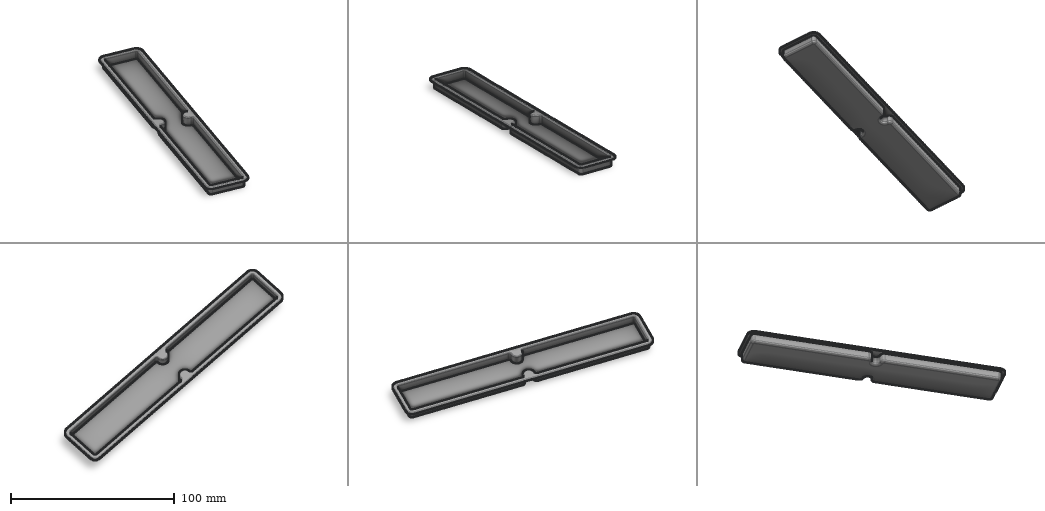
import cadquery as cq

length = 164.0
width = 29.0
height = 7.0
wall = 1.1
flange_thickness = 1.0
flange_overhang = 2.3
body_length = length - 2 * flange_overhang
body_width = width - 2 * flange_overhang
body_corner_radius = 2.1

flange_edge_fillet = 0.8
bottom_edge_fillet = 1.5
opening_edge_fillet = 0.7

notch_radius = 2.6
mouth_radius = 2.5


def tray_outline(inset, base_z):
    """Notched body outline, offset inward by inset, on the plane at base_z."""
    half_x = body_length / 2 - inset
    half_y = body_width / 2 - inset
    corner = body_corner_radius - inset
    tip = notch_radius + inset
    mouth = mouth_radius - inset
    arc_end_y = half_y - mouth
    mouth_x = tip + mouth
    return (
        cq.Workplane("XY", origin=(0, 0, base_z))
        .moveTo(-half_x + corner, -half_y)
        .lineTo(-mouth_x, -half_y)
        .radiusArc((-tip, -arc_end_y), -mouth)
        .threePointArc((0, -arc_end_y + tip), (tip, -arc_end_y))
        .radiusArc((mouth_x, -half_y), -mouth)
        .lineTo(half_x - corner, -half_y)
        .radiusArc((half_x, -half_y + corner), -corner)
        .lineTo(half_x, half_y - corner)
        .radiusArc((half_x - corner, half_y), -corner)
        .lineTo(mouth_x, half_y)
        .radiusArc((tip, arc_end_y), -mouth)
        .threePointArc((0, arc_end_y - tip), (-tip, arc_end_y))
        .radiusArc((-mouth_x, half_y), -mouth)
        .lineTo(-half_x + corner, half_y)
        .radiusArc((-half_x, half_y - corner), -corner)
        .lineTo(-half_x, -half_y + corner)
        .radiusArc((-half_x + corner, -half_y), -corner)
        .close()
    )


def make_body():
    body = tray_outline(0, 0).extrude(height)
    return body.faces("<Z").edges().fillet(bottom_edge_fillet)


def make_flange():
    flange = (
        cq.Workplane("XY", origin=(0, 0, height - flange_thickness))
        .rect(length, width)
        .extrude(flange_thickness)
        .edges("|Z")
        .fillet(body_corner_radius + flange_overhang)
    )
    return flange.faces(">Z").edges().fillet(flange_edge_fillet)


def make_cavity():
    return tray_outline(wall, wall).extrude(height - wall)


def round_opening(tray):
    """Round the upper edge of the cavity, the inner wire of the rim face."""
    rim = tray.faces(">Z").val()
    opening_edges = rim.innerWires()[0].Edges()
    return tray.newObject(opening_edges).fillet(opening_edge_fillet)


tray = make_body().union(make_flange()).cut(make_cavity())
result = round_opening(tray)